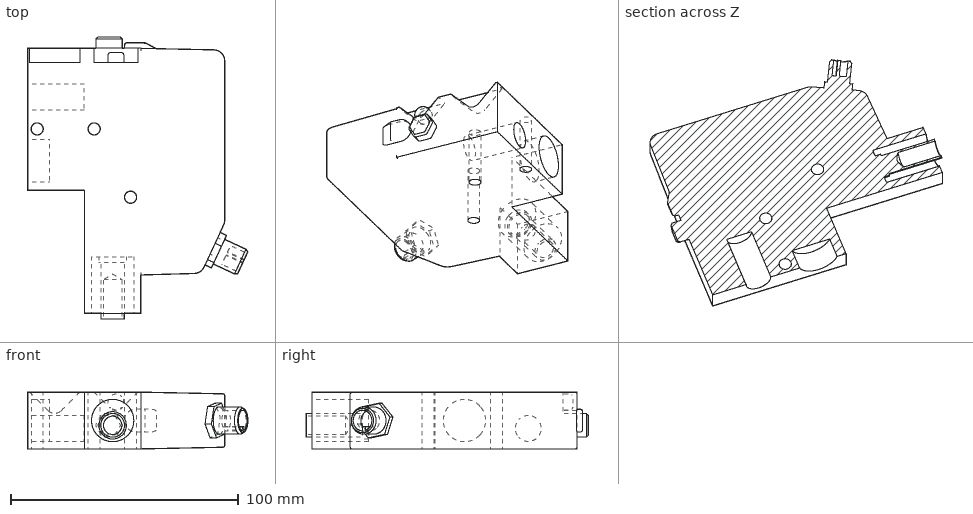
import cadquery as cq
import math

block_height = 25.0
block_width = 49.8
block_length = 116.5
arm_width = 24.9
arm_length = 54.1
mid_height = block_height / 2

cover_reach = 36.8
cover_right = block_width + cover_reach
cover_front = 16.9
cover_draft = 0.7
slant_angle = 25.0
slant_start = 39.9
corner_radius = 5.0
edge_radius = 1.0

mount_diameter = 5.2
mount_pitch = 25.0
mount_x = 4.2
mount_y = 81.1
lower_mount = (45.3, 51.1)

main_port = {"diameter": 18.6, "y": 67.1, "z": mid_height, "depth": 9.5}
small_port = {"diameter": 11.4, "y": 95.1, "z": 9.0, "depth": 24.8}

socket_diameter = 18.6
socket_x = block_width - arm_width / 2
socket_depth = 24.8
nipple_z = 10.4
nipple_diameter = 10.4
nipple_bore_diameter = 8.0
nipple_reach = 2.5
collar_diameter = 12.0
collar_length = 2.5
nipple_bore_depth = 17.4
drill_point_angle = 118.0

notch_depth = 6.2
flank_tilt = math.radians(45)
notches = [(11.9, 22.1, 4.0), (38.8, 19.2, 3.7)]
lamp_diameter = 7.0
lamp_length = 4.3
lamp_rounding = 1.2

plug_x = 35.8
plug_z = 10.4
plug_across_flats = 10.4
plug_height = 5.0
plug_corner_radius = 1.2
plug_chamfer = 0.9

cap_x = 47.6
cap_diameter = 10.0
cap_height = 2.5
cap_flat_end = 51.6
cap_end = 56.3
cap_rounding = 1.1
cap_root = 2.5

connector_offset = 12.6
connector_diameter = 12.0
connector_length = 14.6
connector_chamfer = 0.68
connector_chamfer_length = 1.2
connector_bore_diameter = 9.0
connector_bore_depth = 8.0
nut_corner_diameter = 16.1
nut_thickness = 3.1
connector_turn = 11.0
key_width = 1.5
key_inner_radius = 2.7
connector_root = 1.2

slant = math.radians(slant_angle)


def rod_along_y(diameter, x, z, y_start, length):
    """Cylinder running from y_start toward +Y."""
    base = cq.Workplane("XZ", origin=(x, y_start, z))
    return base.circle(diameter / 2).extrude(-length)


def make_block():
    outline = [
        (0, arm_length),
        (block_width - arm_width, arm_length),
        (block_width - arm_width, 0),
        (block_width, 0),
        (block_width, block_length),
        (0, block_length),
    ]
    return cq.Workplane("XY").polyline(outline).close().extrude(block_height)


def make_cover():
    slant_run = (slant_start - cover_front - cover_draft) * math.tan(slant)
    plan = [
        (block_width, cover_front),
        (cover_right - slant_run, cover_front + cover_draft),
        (cover_right, slant_start),
        (cover_right, block_length - cover_draft),
        (block_width, block_length),
    ]
    profile = [
        (block_width, 0),
        (cover_right, cover_draft),
        (cover_right, block_height - cover_draft),
        (block_width, block_height),
    ]
    prism = cq.Workplane("XY").polyline(plan).close().extrude(block_height)
    prism = prism.edges("|Z and (not <X)").fillet(corner_radius)
    wedge = cq.Workplane("XZ").polyline(profile).close().extrude(-block_length)
    cover = prism.intersect(wedge)
    return cover.faces(">Z or <Z").edges("not <X").fillet(edge_radius)


def mount_holes():
    points = [(mount_x, mount_y), (mount_x + mount_pitch, mount_y), lower_mount]
    return cq.Workplane("XY").pushPoints(points).circle(mount_diameter / 2).extrude(block_height)


def side_port(port):
    base = cq.Workplane("YZ").center(port["y"], port["z"])
    return base.circle(port["diameter"] / 2).extrude(port["depth"])


def make_nipple():
    tube = rod_along_y(nipple_diameter, socket_x, nipple_z, -nipple_reach, socket_depth + nipple_reach)
    collar_start = socket_depth - collar_length
    collar = rod_along_y(collar_diameter, socket_x, nipple_z, collar_start, collar_length)
    return tube.union(collar)


def nipple_bore():
    radius = nipple_bore_diameter / 2
    point = radius / math.tan(math.radians(drill_point_angle / 2))
    section = [(0, 0), (radius, 0), (radius, nipple_bore_depth), (0, nipple_bore_depth + point)]
    bore = cq.Workplane("XY").polyline(section).close().revolve(360, (0, 0), (0, 1))
    return bore.translate((socket_x, -nipple_reach, nipple_z))


def v_notch(center_x, width, radius):
    """Notch with flat tilted flanks meeting a tangent round bottom."""
    tangent = radius * math.sin(flank_tilt)
    tangent_z = block_height - (width / 2 - tangent) * math.tan(flank_tilt)
    bottom_z = tangent_z - radius * (1 - math.cos(flank_tilt))
    base = cq.Workplane("XZ", origin=(center_x, block_length, 0))
    return (
        base.moveTo(-width / 2, block_height)
        .lineTo(-tangent, tangent_z)
        .threePointArc((0, bottom_z), (tangent, tangent_z))
        .lineTo(width / 2, block_height)
        .close()
        .extrude(notch_depth)
    )


def make_lamp():
    """Rounded pin concentric with the round bottom of the second notch."""
    center_x, width, radius = notches[1]
    center_z = block_height - width / 2 * math.tan(flank_tilt) + radius / math.cos(flank_tilt)
    lamp = rod_along_y(lamp_diameter, center_x, center_z, block_length - notch_depth, lamp_length)
    return lamp.faces(">Y").edges().fillet(lamp_rounding)


def make_plug():
    corner_diameter = plug_across_flats / math.cos(math.radians(30))
    base = cq.Workplane("XZ", origin=(plug_x, block_length, plug_z))
    plug = base.polygon(6, corner_diameter).extrude(-plug_height)
    plug = plug.edges("|Y").fillet(plug_corner_radius)
    return plug.faces(">Y").edges().chamfer(plug_chamfer)


def make_cap():
    radius = cap_diameter / 2
    bottom_y = block_length - cap_root
    top_y = block_length + cap_height
    outline = cq.Workplane("XZ", origin=(cap_x, bottom_y, mid_height))
    ramp_run = (cap_end - cap_flat_end) * (cap_height + cap_root) / cap_height
    length = cap_flat_end - cap_x + ramp_run
    cap = (
        outline.moveTo(length, radius)
        .lineTo(0, radius)
        .threePointArc((-radius, 0), (0, -radius))
        .lineTo(length, -radius)
        .close()
        .extrude(-(cap_height + cap_root))
    )
    foot_x = cap_x + length
    ramp = [(cap_flat_end, top_y), (foot_x, bottom_y), (foot_x, top_y)]
    cap = cap.cut(cq.Workplane("XY").polyline(ramp).close().extrude(block_height))
    return cap.faces(">Y or >X").edges("not |Z").fillet(cap_rounding)


def connector_plane():
    origin = (
        cover_right - connector_offset * math.sin(slant),
        slant_start - connector_offset * math.cos(slant),
        mid_height,
    )
    along_slant = (math.sin(slant), math.cos(slant), 0)
    outward = (math.cos(slant), -math.sin(slant), 0)
    return cq.Plane(origin=origin, xDir=along_slant, normal=outward)


def make_connector():
    plane = connector_plane()
    nut = cq.Workplane(plane).polygon(6, nut_corner_diameter).extrude(nut_thickness)
    sleeve = (
        cq.Workplane(plane).workplane(offset=-connector_root)
        .circle(connector_diameter / 2)
        .extrude(connector_length + connector_root)
    )
    tip = sleeve.faces(cq.selectors.DirectionMinMaxSelector(plane.zDir))
    sleeve = tip.edges().chamfer(connector_chamfer_length, connector_chamfer)
    bore_floor = cq.Workplane(plane).workplane(offset=connector_length - connector_bore_depth)
    bore = bore_floor.circle(connector_bore_diameter / 2).extrude(connector_bore_depth)
    key_outer_radius = (connector_bore_diameter + connector_diameter) / 4
    key_height = key_outer_radius - key_inner_radius
    key = (
        bore_floor.center(0, -(key_inner_radius + key_height / 2))
        .rect(key_width, key_height)
        .extrude(connector_bore_depth)
    )
    connector = nut.union(sleeve).cut(bore).union(key)
    axis_end = plane.origin + plane.zDir
    return connector.rotate(plane.origin.toTuple(), axis_end.toTuple(), connector_turn)


result = make_block().union(make_cover())
result = result.cut(mount_holes())
for port in (main_port, small_port):
    result = result.cut(side_port(port))
result = result.cut(rod_along_y(socket_diameter, socket_x, mid_height, 0, socket_depth))
result = result.union(make_nipple()).cut(nipple_bore())
for notch in notches:
    result = result.cut(v_notch(*notch))
for piece in (make_lamp(), make_plug(), make_cap(), make_connector()):
    result = result.union(piece)